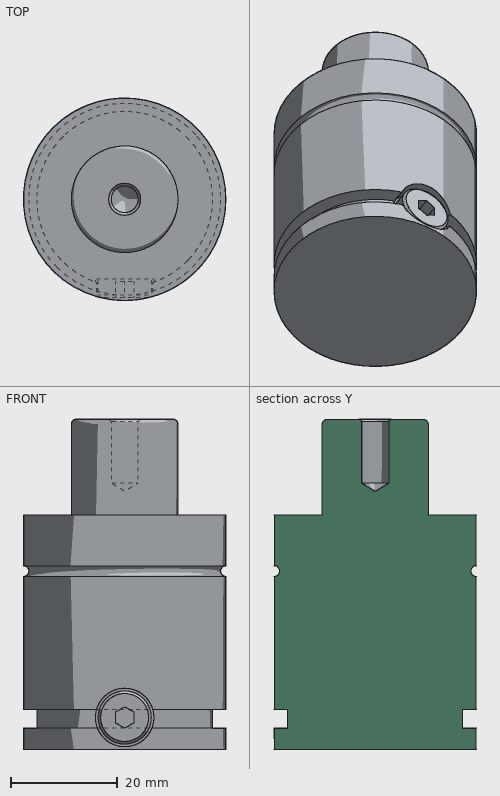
import cadquery as cq
import math

TOTAL_HEIGHT = 62.0
BODY_HEIGHT = 44.0
BODY_RADIUS = 38.0 / 2
ROD_RADIUS = 20.0 / 2
ROD_EDGE_RADIUS = 1.0

HOLE_RADIUS = 5.0 / 2
HOLE_CHAMFER = 0.5
HOLE_DEPTH = 12.0
DRILL_POINT_ANGLE = 118.0

ROUND_GROOVE_Z = 33.5
ROUND_GROOVE_RADIUS = 1.0
SQUARE_GROOVE_BOTTOM = 4.0
SQUARE_GROOVE_TOP = 7.5
SQUARE_GROOVE_FLOOR_RADIUS = 33.0 / 2

PLUG_Z = 6.0
POCKET_RADIUS = 11.0 / 2
POCKET_FLOOR = 15.0
PLUG_RADIUS = 10.0 / 2
PLUG_FACE = 18.4
PLUG_CHAMFER = 0.5
HEX_ACROSS_FLATS = 3.5
HEX_DEPTH = 3.0


def make_body():
    """Revolve the body and rod, including both grooves."""
    profile = (
        cq.Workplane("XZ")
        .lineTo(BODY_RADIUS, 0)
        .lineTo(BODY_RADIUS, SQUARE_GROOVE_BOTTOM)
        .lineTo(SQUARE_GROOVE_FLOOR_RADIUS, SQUARE_GROOVE_BOTTOM)
        .lineTo(SQUARE_GROOVE_FLOOR_RADIUS, SQUARE_GROOVE_TOP)
        .lineTo(BODY_RADIUS, SQUARE_GROOVE_TOP)
        .lineTo(BODY_RADIUS, ROUND_GROOVE_Z - ROUND_GROOVE_RADIUS)
        .threePointArc(
            (BODY_RADIUS - ROUND_GROOVE_RADIUS, ROUND_GROOVE_Z),
            (BODY_RADIUS, ROUND_GROOVE_Z + ROUND_GROOVE_RADIUS),
        )
        .lineTo(BODY_RADIUS, BODY_HEIGHT)
        .lineTo(ROD_RADIUS, BODY_HEIGHT)
        .lineTo(ROD_RADIUS, TOTAL_HEIGHT)
        .lineTo(0, TOTAL_HEIGHT)
        .close()
    )
    body = profile.revolve(360, (0, 0, 0), (0, 1, 0))
    return body.faces(">Z").edges().fillet(ROD_EDGE_RADIUS)


def make_rod_hole():
    """Drilled hole volume with a chamfered mouth and a drill point."""
    wall_bottom = TOTAL_HEIGHT - HOLE_DEPTH
    point_depth = HOLE_RADIUS / math.tan(math.radians(DRILL_POINT_ANGLE / 2))
    profile = (
        cq.Workplane("XZ")
        .moveTo(0, TOTAL_HEIGHT)
        .lineTo(HOLE_RADIUS + HOLE_CHAMFER, TOTAL_HEIGHT)
        .lineTo(HOLE_RADIUS, TOTAL_HEIGHT - HOLE_CHAMFER)
        .lineTo(HOLE_RADIUS, wall_bottom)
        .lineTo(0, wall_bottom - point_depth)
        .close()
    )
    return profile.revolve(360, (0, 0, 0), (0, 1, 0))


def side_plane(distance):
    """Workplane facing -Y, centred on the plug at a distance from the body axis."""
    return cq.Workplane("XZ", origin=(0, -distance, PLUG_Z))


def make_pocket():
    return side_plane(POCKET_FLOOR).circle(POCKET_RADIUS).extrude(BODY_RADIUS - POCKET_FLOOR)


def make_plug():
    """Chamfered round plug with a hexagon socket that has a corner pointing up."""
    plug = side_plane(POCKET_FLOOR).circle(PLUG_RADIUS).extrude(PLUG_FACE - POCKET_FLOOR)
    plug = plug.faces("<Y").edges().chamfer(PLUG_CHAMFER)
    hex_corner_diameter = HEX_ACROSS_FLATS / math.cos(math.pi / 6)
    socket = (
        side_plane(PLUG_FACE)
        .transformed(rotate=(0, 0, 90))
        .polygon(6, hex_corner_diameter)
        .extrude(-HEX_DEPTH)
    )
    return plug.cut(socket)


result = make_body().cut(make_rod_hole()).cut(make_pocket()).union(make_plug())